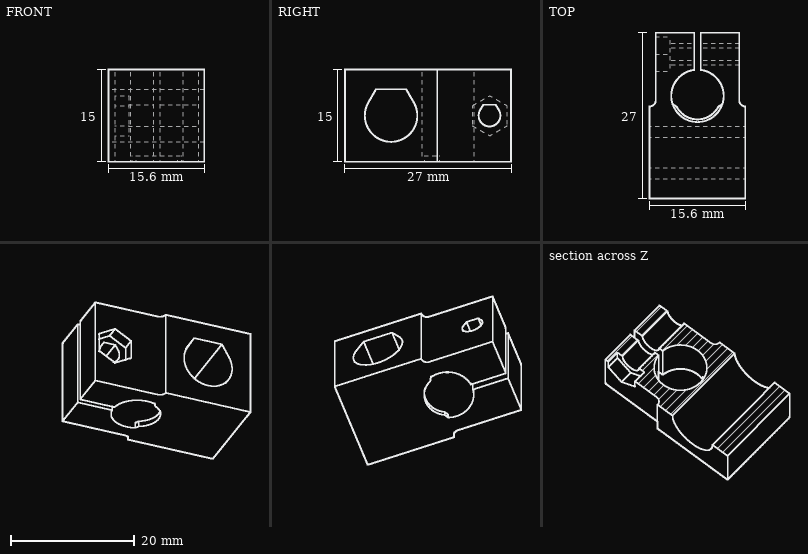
import cadquery as cq
import math

BODY_WIDTH = 15.6
BODY_LENGTH = 27.0
BODY_HEIGHT = 15.0
MID_HEIGHT = BODY_HEIGHT / 2
ARM_WIDTH = 13.6
ARM_START = 15.0
STEP_RADIUS = (BODY_WIDTH - ARM_WIDTH) / 2

ROD_RADIUS = 4.25
UPRIGHT_ROD_Y = 16.7
CROSS_ROD_Y = 7.5

LIP_RADIUS = 3.8
LIP_HEIGHT = 1.0
LIP_CORNER_ANGLE = math.radians(27)
LIP_END_SLOPE = math.radians(30)

SLIT_WIDTH = 1.0
BOLT_RADIUS = 1.75
BOLT_Y = BODY_LENGTH - 3.5
NUT_FLATS = 5.65
NUT_DEPTH = 2.3

ROOF_ANGLE = math.radians(30)


def make_body():
    """Block with a concave quarter round where it steps in to the arm."""
    block_x = BODY_WIDTH / 2
    arm_x = ARM_WIDTH / 2
    arc_end_y = ARM_START + STEP_RADIUS
    arc_x = block_x - STEP_RADIUS * math.sin(math.pi / 4)
    arc_y = arc_end_y - STEP_RADIUS * math.cos(math.pi / 4)
    return (
        cq.Workplane("XY")
        .moveTo(-block_x, 0)
        .lineTo(block_x, 0)
        .lineTo(block_x, ARM_START)
        .threePointArc((arc_x, arc_y), (arm_x, arc_end_y))
        .lineTo(arm_x, BODY_LENGTH)
        .lineTo(-arm_x, BODY_LENGTH)
        .lineTo(-arm_x, arc_end_y)
        .threePointArc((-arc_x, arc_y), (-block_x, ARM_START))
        .close()
        .extrude(BODY_HEIGHT)
    )


def make_cross_bore(radius, y):
    """Bore along X with sloped flanks, tangent to its circle, and a flat roof."""
    tangent_y = radius * math.cos(ROOF_ANGLE)
    tangent_z = radius * math.sin(ROOF_ANGLE)
    roof_half_width = radius * (1 - math.sin(ROOF_ANGLE)) / math.cos(ROOF_ANGLE)
    return (
        cq.Workplane("YZ", origin=(-BODY_WIDTH / 2, y, MID_HEIGHT))
        .moveTo(-roof_half_width, radius)
        .lineTo(-tangent_y, tangent_z)
        .threePointArc((0, -radius), (tangent_y, tangent_z))
        .lineTo(roof_half_width, radius)
        .close()
        .extrude(BODY_WIDTH)
    )


def make_upright_bore():
    """Bore along Z that leaves a stop lip on its -Y side at the bottom."""
    bore = cq.Workplane("XY").center(0, UPRIGHT_ROD_Y).circle(ROD_RADIUS).extrude(BODY_HEIGHT)
    return bore.cut(make_lip())


def make_lip():
    """Ring sector on the -Y side, with ends that rise toward +Y as they run outward."""
    corner_x = LIP_RADIUS * math.cos(LIP_CORNER_ANGLE)
    corner_y = -LIP_RADIUS * math.sin(LIP_CORNER_ANGLE)
    outer_x = ROD_RADIUS
    outer_y = corner_y + (outer_x - corner_x) * math.tan(LIP_END_SLOPE)
    sector = (
        cq.Workplane("XY")
        .center(0, UPRIGHT_ROD_Y)
        .polyline([
            (-corner_x, corner_y),
            (-outer_x, outer_y),
            (-outer_x, -ROD_RADIUS),
            (outer_x, -ROD_RADIUS),
            (outer_x, outer_y),
            (corner_x, corner_y),
        ])
        .close()
        .extrude(LIP_HEIGHT)
    )
    ring = (
        cq.Workplane("XY")
        .center(0, UPRIGHT_ROD_Y)
        .circle(ROD_RADIUS)
        .circle(LIP_RADIUS)
        .extrude(LIP_HEIGHT)
    )
    return ring.intersect(sector)


def make_slit():
    """Full-height slit from the upright bore to the +Y end."""
    slit_length = BODY_LENGTH - UPRIGHT_ROD_Y
    return (
        cq.Workplane("XY")
        .center(0, UPRIGHT_ROD_Y + slit_length / 2)
        .rect(SLIT_WIDTH, slit_length)
        .extrude(BODY_HEIGHT)
    )


def make_nut_pocket():
    """Hexagonal pocket in the -X side of the arm, with corners up and down."""
    corner_diameter = NUT_FLATS / math.cos(math.pi / 6)
    return (
        cq.Workplane("YZ", origin=(-ARM_WIDTH / 2, BOLT_Y, MID_HEIGHT))
        .transformed(rotate=(0, 0, 90))
        .polygon(6, corner_diameter)
        .extrude(NUT_DEPTH)
    )


result = (
    make_body()
    .cut(make_upright_bore())
    .cut(make_slit())
    .cut(make_cross_bore(ROD_RADIUS, CROSS_ROD_Y))
    .cut(make_cross_bore(BOLT_RADIUS, BOLT_Y))
    .cut(make_nut_pocket())
)